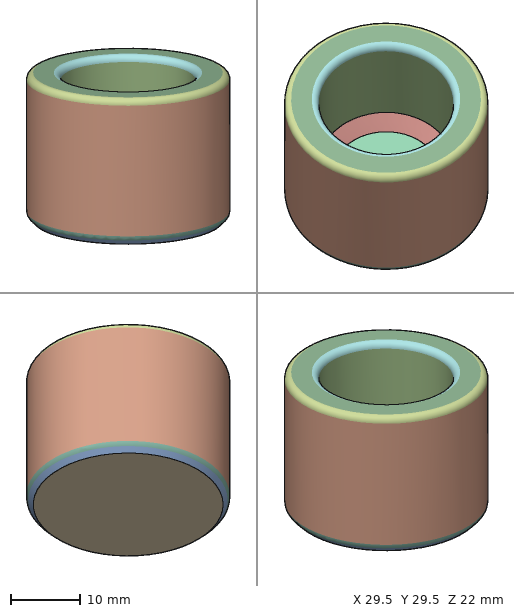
import cadquery as cq

outer_diameter = 29.5
height = 22.0
outer_radius = outer_diameter / 2

bore_diameter = 19.5
bore_radius = bore_diameter / 2
floor_chamfer = 2.0
floor_radius = bore_radius - floor_chamfer
floor_thickness = outer_radius - bore_radius
cone_top = floor_thickness + floor_chamfer

rim_fillet = 1.0
base_chamfer = 1.0
base_blend_radius = 1.0


def revolved_cup():
    """Revolve the half section, with a sharp rim, about the Z axis."""
    return (
        cq.Workplane("XZ")
        .moveTo(0, 0)
        .lineTo(outer_radius - base_chamfer, 0)
        .lineTo(outer_radius, base_chamfer)
        .lineTo(outer_radius, height)
        .lineTo(bore_radius, height)
        .lineTo(bore_radius, cone_top)
        .lineTo(floor_radius, floor_thickness)
        .lineTo(0, floor_thickness)
        .close()
        .revolve(360, (0, 0), (0, 1))
    )


def round_rim(cup):
    """Round the outer and inner edges of the flat top rim."""
    return cup.faces(">Z").edges().fillet(rim_fillet)


def blend_base(cup):
    """Round the edge where the base chamfer meets the outer wall."""
    chamfer_edge = cq.selectors.BoxSelector(
        (-outer_diameter, -outer_diameter, base_chamfer / 2),
        (outer_diameter, outer_diameter, base_chamfer * 3 / 2),
        boundingbox=True,
    )
    return cup.edges(chamfer_edge).fillet(base_blend_radius)


result = blend_base(round_rim(revolved_cup()))